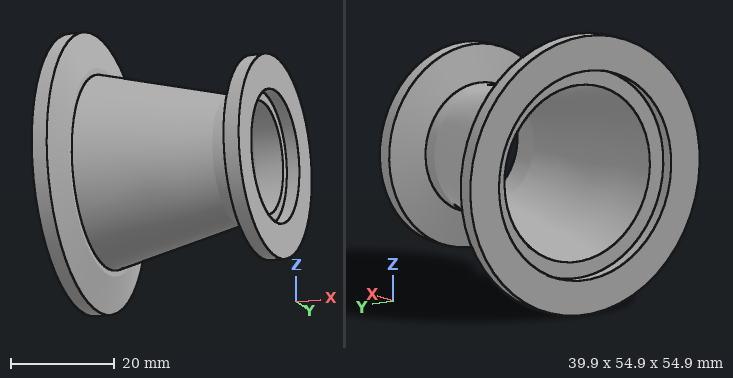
import cadquery as cq

length = 39.9
rim_width = 3.15
flange_width = 5.1
neck_length = 3.0
recess_depth = 2.6

large_flange_dia = 54.9
large_back_dia = 40.45
large_recess_dia = 41.2
cone_dia = 38.05
large_bore_dia = 34.75
small_flange_dia = 39.9
small_recess_dia = 26.2
neck_dia = 25.4
small_bore_dia = 22.1

small_flange_start = length - flange_width
neck_start = small_flange_start - neck_length

outer_profile = [
    (0, large_flange_dia / 2),
    (rim_width, large_flange_dia / 2),
    (flange_width, large_back_dia / 2),
    (flange_width, cone_dia / 2),
    (neck_start, neck_dia / 2),
    (small_flange_start, neck_dia / 2),
    (length - rim_width, small_flange_dia / 2),
    (length, small_flange_dia / 2),
]

inner_profile = [
    (length, small_recess_dia / 2),
    (length - recess_depth, small_recess_dia / 2),
    (length - recess_depth, small_bore_dia / 2),
    (neck_start, small_bore_dia / 2),
    (recess_depth, large_bore_dia / 2),
    (recess_depth, large_recess_dia / 2),
    (0, large_recess_dia / 2),
]

result = (
    cq.Workplane("XZ")
    .polyline(outer_profile + inner_profile)
    .close()
    .revolve(360, (0, 0, 0), (1, 0, 0))
)